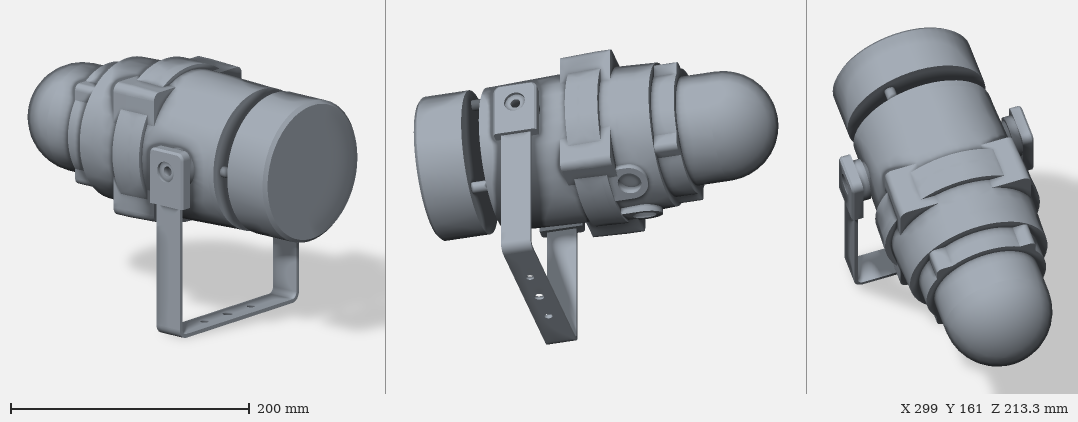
import cadquery as cq
import math


COLLAR_X = 75.0
FRONT_SHELL_X = 94.8
BLOCK_FRONT_X = 129.2
FLANGE_FRONT_X = 137.3
JOINT_X = 143.0
FLANGE_BACK_X = 165.7
BLOCK_BACK_X = 173.0
SHELL_BACK_X = 236.3
HORN_BASE_X = 242.0
HORN_CAP_X = 257.2
LENGTH = 299.0

DOME_RADIUS = 92.5 / 2
COLLAR_RADIUS = 53.0
COLLAR_SQUARE = 87.3
COLLAR_FILLET = 5.5
FRONT_SHELL_RADIUS = 121.7 / 2
FRONT_JOINT_RADIUS = 62.8

FLANGE_RADIUS = 68.5
FLANGE_BACK_RADIUS = 67.5
BLOCK_SIDE = 115.5
BLOCK_BACK_SIDE = 113.0
BLOCK_FILLET = 7.5

LUG_TILT = 22.0
LUG_CENTRE_X = 120.8
LUG_RADIUS = 15.5
LUG_HOLE_DIAMETER = 20.0
LUG_HOLE_DEPTH = 9.0
LUG_OUTER_DISTANCE = 65.8
LUG_THICKNESS = 6.0

REAR_JOINT_RADIUS = 64.3
BOSS_DIAMETER = 29.0

HORN_RADIUS = 122.0 / 2
HORN_CHAMFER = 3.0
ROD_DIAMETER = 9.3
ROD_CIRCLE_RADIUS = 48.0
ROD_COUNT = 3

PIVOT_X = 205.8
BOSS_END_Y = 63.5
PAD_PLATE_Y = 70.5
COVER_Y = 77.0
HALF_WIDTH = 80.5
WASHER_DIAMETER = 35.0
PLATE_WIDTH = 37.0
PLATE_TOP_Z = PLATE_WIDTH / 2
PLATE_BOTTOM_Z = -30.0
PLATE_FILLET = 6.0
COVER_CHAMFER = 1.8
SCREW_HOLE_DIAMETER = 8.5
COUNTERBORE_DIAMETER = 18.0
COUNTERBORE_DEPTH = 3.0

STRAP_WIDTH = 25.7
STRAP_THICKNESS = 3.3
STRAP_TOP_Z = STRAP_WIDTH / 2
STRAP_BOTTOM_Z = -144.8
STRAP_BEND_RADIUS = 8.5
MOUNT_HOLE_DIAMETER = 8.5
SIDE_HOLE_DIAMETER = 7.0
MOUNT_HOLE_PITCH = 30.0


def section(x):
    """Workplane across the main axis at the given station, facing +X."""
    return cq.Workplane("YZ", origin=(x, 0, 0))


def disc(x_start, x_end, radius):
    return section(x_start).circle(radius).extrude(x_end - x_start)


def cone(x_start, x_end, start_radius, end_radius):
    profile = [(x_start, 0), (x_start, start_radius), (x_end, end_radius), (x_end, 0)]
    return cq.Workplane("XY").polyline(profile).close().revolve(360, (0, 0, 0), (1, 0, 0))


def cylinder_y(y_start, y_end, diameter):
    """Cylinder on the pivot axis between two Y positions."""
    plane = cq.Workplane("XZ", origin=(PIVOT_X, y_start, 0))
    return plane.circle(diameter / 2).extrude(y_start - y_end)


def make_dome():
    half_profile = (
        cq.Workplane("XY")
        .moveTo(0, 0)
        .radiusArc((DOME_RADIUS, DOME_RADIUS), DOME_RADIUS)
        .lineTo(COLLAR_X, DOME_RADIUS)
        .lineTo(COLLAR_X, 0)
        .close()
    )
    return half_profile.revolve(360, (0, 0, 0), (1, 0, 0))


def lug_plane(tilt):
    """Workplane on the outer face of a lug, facing the main axis."""
    plane = cq.Plane.XY().rotated((tilt, 0, 0))
    return cq.Workplane(plane).workplane(offset=-LUG_OUTER_DISTANCE).center(LUG_CENTRE_X, 0)


def make_lug(tilt):
    """Round-ended eye below the housing, without its hole."""
    tab_length = FLANGE_FRONT_X - LUG_CENTRE_X
    eye = lug_plane(tilt).circle(LUG_RADIUS).extrude(LUG_THICKNESS)
    tab = lug_plane(tilt).center(tab_length / 2, 0).rect(tab_length, 2 * LUG_RADIUS)
    return eye.union(tab.extrude(LUG_THICKNESS))


def make_lug_hole(tilt):
    """Blind hole through a lug and into the shell behind it."""
    return lug_plane(tilt).circle(LUG_HOLE_DIAMETER / 2).extrude(LUG_HOLE_DEPTH)


def make_front_housing():
    collar_length = FRONT_SHELL_X - COLLAR_X
    collar_ears = (
        section(COLLAR_X).rect(COLLAR_SQUARE, COLLAR_SQUARE).extrude(collar_length)
        .edges("|X").fillet(COLLAR_FILLET)
    )
    blocks = (
        section(BLOCK_FRONT_X).rect(BLOCK_SIDE, BLOCK_SIDE).extrude(JOINT_X - BLOCK_FRONT_X)
        .edges("|X").fillet(BLOCK_FILLET)
    )
    housing = (
        make_dome()
        .union(disc(COLLAR_X, FRONT_SHELL_X, COLLAR_RADIUS))
        .union(collar_ears)
        .union(cone(FRONT_SHELL_X, JOINT_X, FRONT_SHELL_RADIUS, FRONT_JOINT_RADIUS))
        .union(blocks)
        .union(disc(FLANGE_FRONT_X, JOINT_X, FLANGE_RADIUS))
    )
    for tilt in (-LUG_TILT, LUG_TILT):
        housing = housing.union(make_lug(tilt)).cut(make_lug_hole(tilt))
    return housing


def make_rear_housing():
    block_length = BLOCK_BACK_X - JOINT_X
    block_taper = math.degrees(math.atan((BLOCK_SIDE - BLOCK_BACK_SIDE) / 2 / block_length))
    blocks = (
        section(JOINT_X)
        .sketch().rect(BLOCK_SIDE, BLOCK_SIDE).vertices().fillet(BLOCK_FILLET).finalize()
        .extrude(block_length, taper=block_taper)
    )
    housing = (
        cone(JOINT_X, SHELL_BACK_X, REAR_JOINT_RADIUS, HORN_RADIUS)
        .union(blocks)
        .union(cone(JOINT_X, FLANGE_BACK_X, FLANGE_RADIUS, FLANGE_BACK_RADIUS))
    )
    return housing.union(cylinder_y(-BOSS_END_Y, BOSS_END_Y, BOSS_DIAMETER))


def make_horn():
    cap = disc(HORN_CAP_X, LENGTH, HORN_RADIUS).faces(">X").edges().chamfer(HORN_CHAMFER)
    rods = (
        section(HORN_BASE_X)
        .polarArray(ROD_CIRCLE_RADIUS, 180, 360, ROD_COUNT)
        .circle(ROD_DIAMETER / 2)
        .extrude(HORN_CAP_X - HORN_BASE_X)
    )
    return disc(SHELL_BACK_X, HORN_BASE_X, HORN_RADIUS).union(rods).union(cap)


def make_bracket():
    """U-shaped strap with pivot holes in its arms and mounting holes in its base."""
    height = STRAP_TOP_Z - STRAP_BOTTOM_Z
    plane = cq.Workplane("YZ", origin=(PIVOT_X - STRAP_WIDTH / 2, 0, 0))
    outer = (
        plane.center(0, STRAP_BOTTOM_Z + height / 2).rect(2 * COVER_Y, height).extrude(STRAP_WIDTH)
        .edges("|X and <Z").fillet(STRAP_BEND_RADIUS)
    )
    inner = (
        plane.center(0, STRAP_BOTTOM_Z + STRAP_THICKNESS + height / 2)
        .rect(2 * (COVER_Y - STRAP_THICKNESS), height).extrude(STRAP_WIDTH)
        .edges("|X and <Z").fillet(STRAP_BEND_RADIUS - STRAP_THICKNESS)
    )
    bracket = outer.cut(inner).cut(cylinder_y(-COVER_Y, COVER_Y, SCREW_HOLE_DIAMETER))
    holes = (
        (-MOUNT_HOLE_PITCH, SIDE_HOLE_DIAMETER),
        (0, MOUNT_HOLE_DIAMETER),
        (MOUNT_HOLE_PITCH, SIDE_HOLE_DIAMETER),
    )
    for y, diameter in holes:
        plane = cq.Workplane("XY", origin=(PIVOT_X, y, STRAP_BOTTOM_Z))
        bracket = bracket.cut(plane.circle(diameter / 2).extrude(STRAP_THICKNESS))
    return bracket


def pivot_plate(y_start, y_end):
    """Plate around the pivot on the +Y side, with its two top corners rounded."""
    height = PLATE_TOP_Z - PLATE_BOTTOM_Z
    plane = cq.Workplane("XZ", origin=(PIVOT_X, y_start, PLATE_BOTTOM_Z + height / 2))
    plate = plane.rect(PLATE_WIDTH, height).extrude(y_start - y_end)
    return plate.edges("|Y and >Z").fillet(PLATE_FILLET)


def on_side(body, side):
    """The +Y body itself, or its mirror image on the -Y side."""
    return body if side > 0 else body.mirror("XZ")


def make_pad(side, bracket):
    """Inner clamp plate with its washer and a recess that fits the bracket arm."""
    pad = (
        pivot_plate(PAD_PLATE_Y, COVER_Y)
        .union(cylinder_y(BOSS_END_Y, PAD_PLATE_Y, WASHER_DIAMETER))
        .cut(cylinder_y(BOSS_END_Y, COVER_Y, SCREW_HOLE_DIAMETER))
    )
    return on_side(pad, side).cut(bracket)


def make_cover(side):
    """Outer clamp plate, bevelled on its top and sides, with a counterbored screw hole."""
    cover = pivot_plate(COVER_Y, HALF_WIDTH)
    cover = cover.faces(">Y").edges("not <Z").chamfer(COVER_CHAMFER)
    cover = cover.cut(cylinder_y(COVER_Y, HALF_WIDTH, SCREW_HOLE_DIAMETER))
    cover = cover.cut(cylinder_y(HALF_WIDTH - COUNTERBORE_DEPTH, HALF_WIDTH, COUNTERBORE_DIAMETER))
    return on_side(cover, side)


front_housing = make_front_housing()
rear_housing = make_rear_housing()
horn = make_horn()
bracket = make_bracket()
pads = [make_pad(side, bracket) for side in (-1, 1)]
covers = [make_cover(side) for side in (-1, 1)]

result = cq.Compound.makeCompound(
    [front_housing.val(), rear_housing.val(), horn.val(), bracket.val()]
    + [pad.val() for pad in pads]
    + [cover.val() for cover in covers]
)